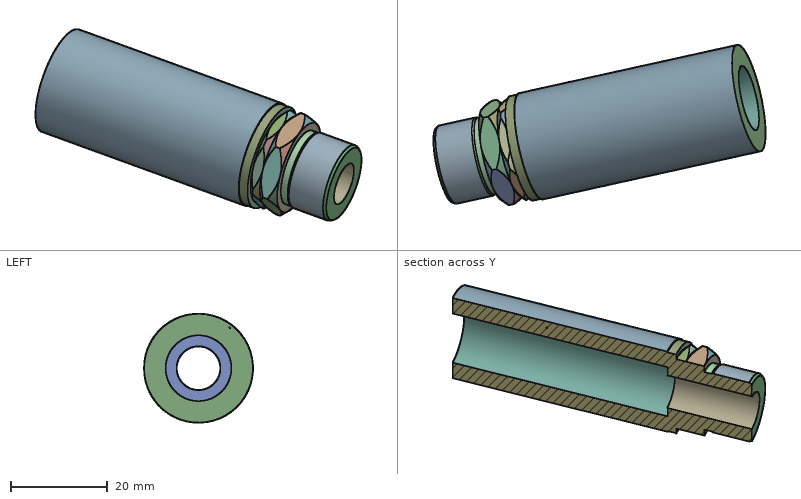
import cadquery as cq
import math

length = 66.0
sleeve_radius = 11.3
sleeve_length = 47.3

collar_radius = 11.1
collar_end = 49.3

hex_corner_radius = sleeve_radius
hex_flat_distance = hex_corner_radius * math.cos(math.pi / 6)
narrow_ring_end = 51.5
wide_ring_end = 55.5

relief_radius = 8.1
relief_end = 57.1
thread_radius = 8.3
thread_start = 57.5
thread_chamfer_length = 0.6
thread_chamfer_depth = 0.4

counterbore_radius = 6.8
counterbore_depth = sleeve_length
bore_radius = 4.5


def cylinder(start, end, radius):
    """Solid cylinder along X between two stations."""
    return cq.Workplane("YZ", origin=(start, 0, 0)).circle(radius).extrude(end - start)


def revolve_outline(points):
    """Revolve a closed (x, radius) outline around the X axis."""
    return cq.Workplane("XY").polyline(points).close().revolve(360, (0, 0, 0), (1, 0, 0))


def hex_ring(start, end):
    """Hexagon ring with corners on +Y and -Y, both faces bevelled by 45 degree cones."""
    prism = (
        cq.Workplane("YZ", origin=(start, 0, 0))
        .polygon(6, 2 * hex_corner_radius)
        .extrude(end - start)
    )
    middle = (start + end) / 2
    apex_radius = hex_flat_distance + (end - start) / 2
    double_cone = revolve_outline([
        (start, 0),
        (start, hex_flat_distance),
        (middle, apex_radius),
        (end, hex_flat_distance),
        (end, 0),
    ])
    return prism.intersect(double_cone)


def spigot():
    """Relief and thread cylinder, chamfered at the free end."""
    return revolve_outline([
        (wide_ring_end, 0),
        (wide_ring_end, relief_radius),
        (relief_end, relief_radius),
        (thread_start, thread_radius),
        (length - thread_chamfer_length, thread_radius),
        (length, thread_radius - thread_chamfer_depth),
        (length, 0),
    ])


body = (
    cylinder(0, sleeve_length, sleeve_radius)
    .union(cylinder(sleeve_length, collar_end, collar_radius))
    .union(hex_ring(collar_end, narrow_ring_end))
    .union(hex_ring(narrow_ring_end, wide_ring_end))
    .union(spigot())
)

result = (
    body
    .cut(cylinder(0, counterbore_depth, counterbore_radius))
    .cut(cylinder(0, length, bore_radius))
)